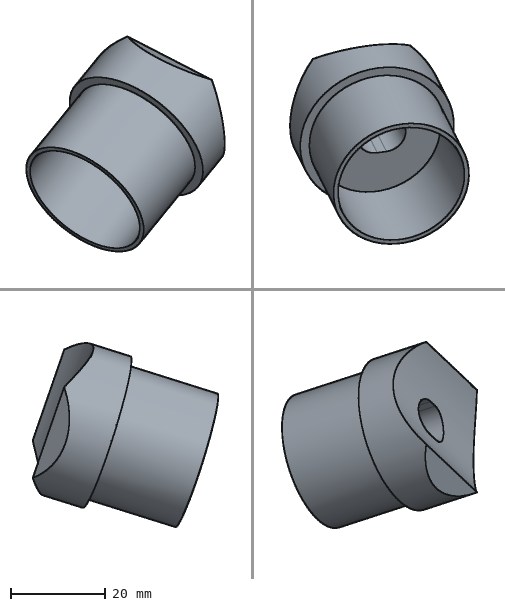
import cadquery as cq
import math

tube_diameter = 29.7
bore_diameter = 27.7
tube_length = 20.0

head_diameter = 33.7
head_length = 13.0
head_radius = head_diameter / 2

saddle_radius = 21.2
saddle_floor = 8.5
saddle_axis = saddle_floor + saddle_radius
tip_height = math.sqrt(saddle_radius**2 - (saddle_axis - head_length) ** 2)

rim_drop = head_radius - tip_height
shoulder_length = head_length - rim_drop

slot_width = 8.5
slot_center_spacing = 2.0
slot_length = slot_width + slot_center_spacing
slot_offset = 1.0


def cylinder_along_y(diameter, start, length):
    """Solid cylinder on the Y axis, from Y = start towards +Y."""
    axis = cq.Vector(0, 1, 0)
    return cq.Workplane(obj=cq.Solid.makeCylinder(diameter / 2, length, cq.Vector(0, start, 0), axis))


def make_head():
    """Collar trimmed to the saddle arc and its two sloping flats."""
    side_profile = (
        cq.Workplane("YZ")
        .moveTo(0, -head_radius)
        .lineTo(shoulder_length, -head_radius)
        .lineTo(head_length, -tip_height)
        .threePointArc((saddle_floor, 0), (head_length, tip_height))
        .lineTo(shoulder_length, head_radius)
        .lineTo(0, head_radius)
        .close()
        .extrude(head_radius, both=True)
    )
    return cylinder_along_y(head_diameter, 0, head_length).intersect(side_profile)


def make_slot():
    """Obround cutter running the full length of the head."""
    return (
        cq.Workplane("XZ")
        .center(slot_offset, 0)
        .slot2D(slot_length, slot_width)
        .extrude(-head_length)
    )


tube = cylinder_along_y(tube_diameter, -tube_length, tube_length)
bore = cylinder_along_y(bore_diameter, -tube_length, tube_length)

result = make_head().union(tube).cut(bore).cut(make_slot())